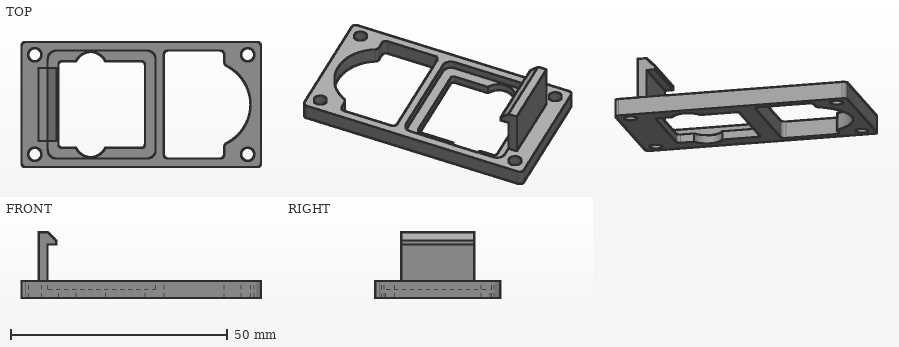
import cadquery as cq

plate_length = 55.5
plate_width = 29.0
plate_thickness = 4.0
corner_radius = 1.0

hole_diameter = 3.0
hole_inset_x = 3.1
hole_inset_y = 3.0

pocket_center_x = 18.6
pocket_size = 25.0
pocket_depth = plate_thickness / 2
pocket_radius = 2.0
opening_size = 20.0
opening_radius = 0.8

notch_center_x = 16.05
notch_radius = 3.7
notch_reach = 12.15

window_left = 32.95
window_right = 46.95
window_width = pocket_size
window_radius = 1.0
bulge_radius = 10.0
bulge_right = 53.0

clip_width = 17.0
clip_height = 11.25
clip_thickness = 2.1
hook_overhang = 2.0
hook_height = 2.9


def upright_prism(center_x, length, width, height, radius, bottom=0.0):
    """Rectangular block centred on Y with rounded vertical edges."""
    return (
        cq.Workplane("XY", origin=(center_x, 0, bottom))
        .rect(length, width)
        .extrude(height)
        .edges("|Z")
        .fillet(radius)
    )


def make_plate():
    plate = upright_prism(plate_length / 2, plate_length, plate_width, plate_thickness, corner_radius)
    holes = (
        cq.Workplane("XY", origin=(plate_length / 2, 0, 0))
        .rect(plate_length - 2 * hole_inset_x, plate_width - 2 * hole_inset_y, forConstruction=True)
        .vertices()
        .circle(hole_diameter / 2)
        .extrude(plate_thickness)
    )
    return plate.cut(holes)


def make_pocket_cutter():
    floor = plate_thickness - pocket_depth
    pocket = upright_prism(pocket_center_x, pocket_size, pocket_size, pocket_depth, pocket_radius, floor)
    opening = upright_prism(pocket_center_x, opening_size, opening_size, plate_thickness, opening_radius)
    notch_offset = notch_reach - notch_radius
    notches = (
        cq.Workplane("XY")
        .pushPoints([(notch_center_x, side * notch_offset) for side in (-1, 1)])
        .circle(notch_radius)
        .extrude(plate_thickness)
    )
    return pocket.union(opening).union(notches)


def make_window_cutter():
    length = window_right - window_left
    bulge = (
        cq.Workplane("XY")
        .center(bulge_right - bulge_radius, 0)
        .circle(bulge_radius)
        .extrude(plate_thickness)
    )
    return (
        cq.Workplane("XY", origin=(window_left + length / 2, 0, 0))
        .rect(length, window_width)
        .extrude(plate_thickness)
        .union(bulge)
        .edges("|Z")
        .fillet(window_radius)
    )


def make_clip():
    stem_right = pocket_center_x - pocket_size / 2
    stem_left = stem_right - clip_thickness
    hook_right = stem_right + hook_overhang
    clip_top = plate_thickness + clip_height
    profile = [
        (stem_left, plate_thickness),
        (stem_right, plate_thickness),
        (stem_right, clip_top - hook_height),
        (hook_right, clip_top - hook_height),
        (hook_right, clip_top - hook_overhang),
        (stem_right, clip_top),
        (stem_left, clip_top),
    ]
    return cq.Workplane("XZ").polyline(profile).close().extrude(clip_width / 2, both=True)


result = make_plate().cut(make_pocket_cutter()).cut(make_window_cutter()).union(make_clip())